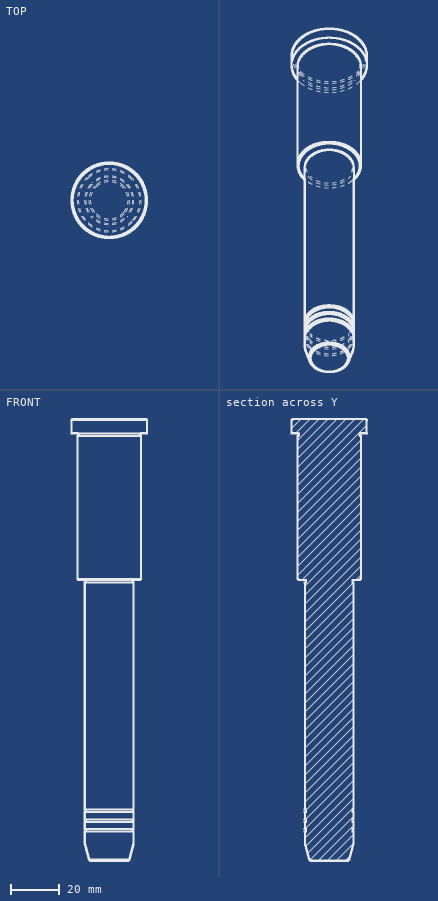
import cadquery as cq
import math

total_length = 181.0
head_height = 6.0
body_length = 60.1
nose_length = 7.0

head_diameter = 31.0
body_diameter = 26.0
shank_diameter = 20.1

edge_chamfer = 0.5
nose_angle = 15.0

groove_radius = edge_chamfer
groove_count = 3
groove_pitch = 4.0
lowest_groove_z = 12.5

head_bottom_z = total_length - head_height
body_bottom_z = head_bottom_z - body_length
nose_tip_diameter = shank_diameter - 2 * nose_length * math.tan(math.radians(nose_angle))


def cylinder(diameter, bottom_z, height):
    """Cylinder on the Z axis."""
    return cq.Workplane("XY").workplane(offset=bottom_z).circle(diameter / 2).extrude(height)


def head():
    """Flange with a chamfered top edge."""
    disc = cylinder(head_diameter, head_bottom_z, head_height)
    return disc.faces(">Z").edges().chamfer(edge_chamfer)


def body():
    """Thick cylinder under the head, with a chamfered lower edge."""
    barrel = cylinder(body_diameter, body_bottom_z, body_length)
    return barrel.faces("<Z").edges().chamfer(edge_chamfer)


def shank():
    """Slim cylinder between the body and the nose."""
    return cylinder(shank_diameter, nose_length, body_bottom_z - nose_length)


def nose():
    """Cone narrowing downwards, with a chamfered tip."""
    cone = (
        cq.Workplane("XY")
        .circle(nose_tip_diameter / 2)
        .workplane(offset=nose_length)
        .circle(shank_diameter / 2)
        .loft(ruled=True)
    )
    return cone.faces("<Z").edges().chamfer(edge_chamfer)


def ring_groove(diameter, center_z):
    """Torus that cuts a half-round groove into a cylinder of the given diameter."""
    center = cq.Vector(0, 0, center_z)
    return cq.Workplane(cq.Solid.makeTorus(diameter / 2, groove_radius, center))


result = head().union(body()).union(shank()).union(nose())

result = result.cut(ring_groove(body_diameter, head_bottom_z - groove_radius))
result = result.cut(ring_groove(shank_diameter, body_bottom_z - groove_radius))

for index in range(groove_count):
    result = result.cut(ring_groove(shank_diameter, lowest_groove_z + index * groove_pitch))